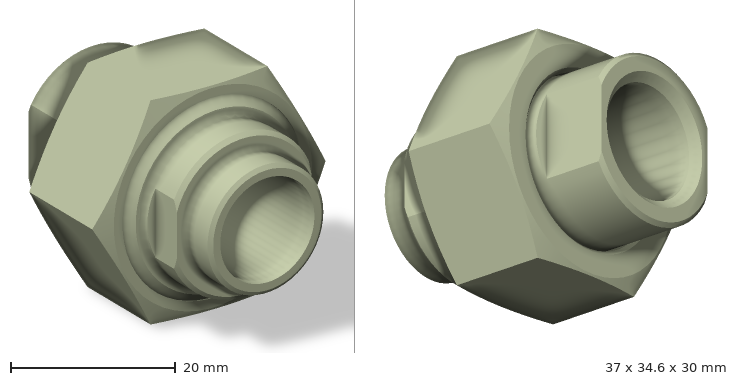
import math
import cadquery as cq

total_length = 37.0
half_length = total_length / 2

across_flats = 30.0
across_corners = across_flats / math.cos(math.radians(30))
nut_start = 10.47 - half_length
nut_length = 15.02
nut_end = nut_start + nut_length
nut_face_diameter = 29.45
corner_bevel_depth = 0.85
lip_thickness = 2.0
lip_hole_diameter = 22.5
lip_mouth_diameter = 23.55
lip_chamfer = (lip_mouth_diameter - lip_hole_diameter) / 2
thread_diameter = 26.85

collar_start = nut_start + lip_thickness
collar_length = 2.22
collar_diameter = 25.4
seat = collar_start + collar_length

barrel_diameter = 22.0
chamfer_drop = 0.55
flat_shoulder_angle = 15.0
flat_cut_margin = 0.37

socket_chamfer_length = 0.5
socket_flat_distance = 9.5
socket_flat_end = 9.03 - half_length
socket_mouth_diameter = 17.2
taper_large_diameter = 14.95
taper_small_diameter = 14.2
countersink_depth = (socket_mouth_diameter - taper_large_diameter) / 2

tail_bore_diameter = 14.0
shoulder_face = 26.5 - half_length
shoulder_face_diameter = 24.35
shoulder_chamfer = (thread_diameter - shoulder_face_diameter) / 2
shoulder_fillet = 0.8
tail_flat_distance = 10.0
tail_flat_start = 27.55 - half_length
barrel_end = 32.08 - half_length
barrel_chamfer_length = 0.6
spigot_diameter = 17.2
spigot_fillet = 0.65
spigot_chamfer_length = 0.4


def revolve_about_x(profile):
    """Close a profile of (x, radius) points and turn it fully about the X axis."""
    return profile.close().revolve(360, (0, 0, 0), (1, 0, 0))


def cut_wrench_flats(body, open_end, flat_end, distance):
    """Cut two flats facing +Y and -Y, from open_end to a leaning shoulder at flat_end."""
    outer = barrel_diameter / 2 + flat_cut_margin
    lean = (outer - distance) * math.tan(math.radians(flat_shoulder_angle))
    shoulder_top = flat_end + math.copysign(lean, flat_end - open_end)
    for side in (-1, 1):
        waste = (
            cq.Workplane("XY")
            .moveTo(open_end, side * distance)
            .lineTo(flat_end, side * distance)
            .lineTo(shoulder_top, side * outer)
            .lineTo(open_end, side * outer)
            .close()
            .extrude(barrel_diameter / 2, both=True)
        )
        body = body.cut(waste)
    return body


def make_nut():
    """Hexagon with bevelled corners, an inner lip at -X and a thread bore open at +X."""
    hexagon = (
        cq.Workplane("YZ", origin=(nut_start, 0, 0))
        .polygon(6, across_corners)
        .extrude(nut_length)
    )
    bevel_envelope = revolve_about_x(
        cq.Workplane("XY")
        .moveTo(nut_start, 0)
        .lineTo(nut_start, nut_face_diameter / 2)
        .lineTo(nut_start + corner_bevel_depth, across_corners / 2)
        .lineTo(nut_end - corner_bevel_depth, across_corners / 2)
        .lineTo(nut_end, nut_face_diameter / 2)
        .lineTo(nut_end, 0)
    )
    bore = revolve_about_x(
        cq.Workplane("XY")
        .moveTo(nut_start, 0)
        .lineTo(nut_start, lip_mouth_diameter / 2)
        .lineTo(nut_start + lip_chamfer, lip_hole_diameter / 2)
        .lineTo(collar_start, lip_hole_diameter / 2)
        .lineTo(collar_start, thread_diameter / 2)
        .lineTo(nut_end, thread_diameter / 2)
        .lineTo(nut_end, 0)
    )
    return hexagon.intersect(bevel_envelope).cut(bore)


def make_socket():
    """Sleeve with a tapered bore, wrench flats and a collar held behind the nut's lip."""
    left = -half_length
    barrel_radius = barrel_diameter / 2
    sleeve = revolve_about_x(
        cq.Workplane("XY")
        .moveTo(left, socket_mouth_diameter / 2)
        .lineTo(left, barrel_radius - chamfer_drop)
        .lineTo(left + socket_chamfer_length, barrel_radius)
        .lineTo(collar_start, barrel_radius)
        .lineTo(collar_start, collar_diameter / 2)
        .lineTo(seat, collar_diameter / 2)
        .lineTo(seat, taper_small_diameter / 2)
        .lineTo(left + countersink_depth, taper_large_diameter / 2)
    )
    return cut_wrench_flats(sleeve, left, socket_flat_end, socket_flat_distance)


def make_tail():
    """Threaded head, barrel with wrench flats and a narrower weld spigot, bored through."""
    right = half_length
    barrel_radius = barrel_diameter / 2
    spigot_radius = spigot_diameter / 2
    arc_offset = 1 - math.sqrt(0.5)

    def add_fillet(profile, face, radius, fillet):
        """Concave quarter round from the wall at x = face down onto the cylinder."""
        return profile.lineTo(face, radius + fillet).threePointArc(
            (face + fillet * arc_offset, radius + fillet * arc_offset),
            (face + fillet, radius),
        )

    profile = (
        cq.Workplane("XY")
        .moveTo(seat, tail_bore_diameter / 2)
        .lineTo(seat, thread_diameter / 2)
        .lineTo(shoulder_face - shoulder_chamfer, thread_diameter / 2)
        .lineTo(shoulder_face, shoulder_face_diameter / 2)
    )
    profile = add_fillet(profile, shoulder_face, barrel_radius, shoulder_fillet)
    profile = (
        profile.lineTo(barrel_end - barrel_chamfer_length, barrel_radius)
        .lineTo(barrel_end, barrel_radius - chamfer_drop)
    )
    profile = add_fillet(profile, barrel_end, spigot_radius, spigot_fillet)
    profile = (
        profile.lineTo(right - spigot_chamfer_length, spigot_radius)
        .lineTo(right, spigot_radius - chamfer_drop)
        .lineTo(right, tail_bore_diameter / 2)
    )
    tail = revolve_about_x(profile)
    return cut_wrench_flats(tail, barrel_end, tail_flat_start, tail_flat_distance)


nut = make_nut()
socket = make_socket()
tail = make_tail()

result = cq.Compound.makeCompound([nut.val(), socket.val(), tail.val()])